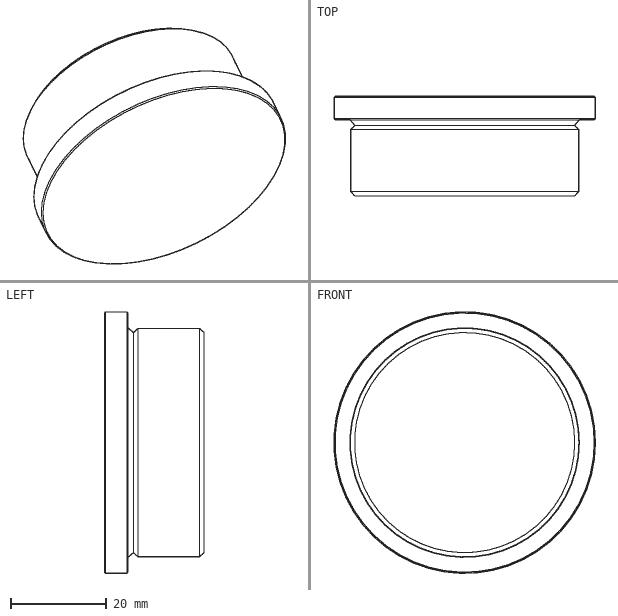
import cadquery as cq

total_length = 21.0
flange_radius = 55 / 2
flange_thickness = 5.0
flange_chamfer = 0.3
body_radius = 48.0 / 2
end_chamfer_length = 1.0
bevel_depth = 0.9

groove_root_radius = body_radius - bevel_depth
groove_body_side_length = 0.9
groove_flange_side_length = 1.15
groove_flange_side_depth = 1.0

flange_face = total_length - flange_thickness
groove_root = flange_face - groove_flange_side_length
body_shoulder = groove_root - groove_body_side_length

profile = [
    (0, 0),
    (body_radius - bevel_depth, 0),
    (body_radius, end_chamfer_length),
    (body_radius, body_shoulder),
    (groove_root_radius, groove_root),
    (groove_root_radius + groove_flange_side_depth, flange_face),
    (flange_radius - flange_chamfer, flange_face),
    (flange_radius, flange_face + flange_chamfer),
    (flange_radius, total_length - flange_chamfer),
    (flange_radius - flange_chamfer, total_length),
    (0, total_length),
]

result = cq.Workplane("XY").polyline(profile).close().revolve(360, (0, 0, 0), (0, 1, 0))